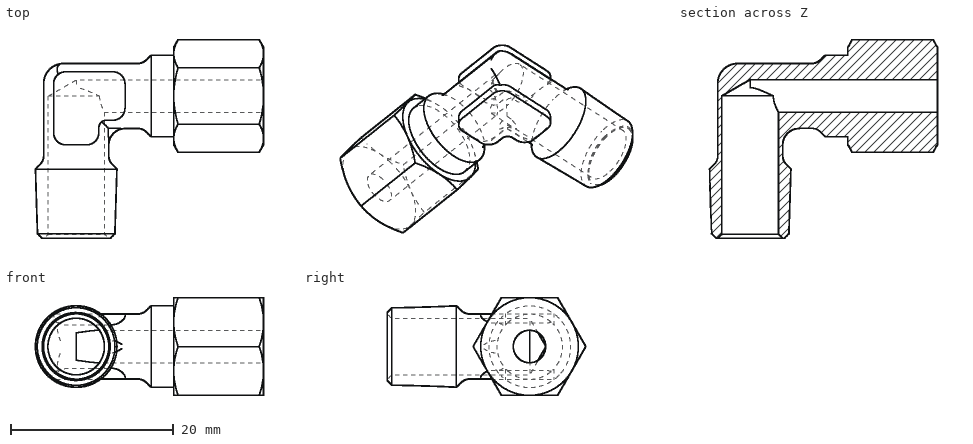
import cadquery as cq
import math

TUBE_RADIUS = 4.0
CORNER_RADIUS = 2.5

COLLAR_RADIUS = 5.02
FLARE_RADIUS = 1.5
FLARE_ANGLE = math.radians(45)

X_FLARE_START = 7.58
NUT_START = 11.98
NUT_END = 23.05
NUT_ACROSS_FLATS = 12.0
NUT_CHAMFER_ANGLE = math.radians(30)

Y_FLARE_START = 7.35
MALE_END = 17.5
MALE_TAPER = 1 / 32
MALE_CHAMFER = 0.6

MALE_BORE_RADIUS = 3.48
MALE_MOUTH_RADIUS = 4.0
DRILL_TIP_HALF_ANGLE = math.radians(60)
NUT_BORE_RADIUS = 2.0

PAD_X_ARM_HALF_WIDTH = 2.97
PAD_Y_ARM_HALF_WIDTH = 2.78
PAD_REACH = 6.0
PAD_CORNER_RADIUS = 1.5
PAD_INNER_RADIUS = 0.95

WEB_RADIUS = 2.0
WEB_NOSE_RADIUS = 0.75


def flared_profile(start):
    """Half profile of a tube that flares into a collar; returns it and the axial end of the flare."""
    arc_run = FLARE_RADIUS * math.sin(FLARE_ANGLE)
    arc_rise = FLARE_RADIUS * (1 - math.cos(FLARE_ANGLE))
    half_angle = FLARE_ANGLE / 2
    arc_middle = (
        start + FLARE_RADIUS * math.sin(half_angle),
        TUBE_RADIUS + FLARE_RADIUS * (1 - math.cos(half_angle)),
    )
    arc_end = (start + arc_run, TUBE_RADIUS + arc_rise)
    flare_end = arc_end[0] + (COLLAR_RADIUS - arc_end[1]) / math.tan(FLARE_ANGLE)
    profile = (
        cq.Workplane("XY")
        .lineTo(0, TUBE_RADIUS)
        .lineTo(start, TUBE_RADIUS)
        .threePointArc(arc_middle, arc_end)
        .lineTo(flare_end, COLLAR_RADIUS)
    )
    return profile, flare_end


def spin(profile):
    """Close a half profile and turn it about the X axis."""
    return profile.close().revolve(360, (0, 0, 0), (1, 0, 0))


def point_along_minus_y(solid):
    """Swing a solid built along +X so that it points along -Y."""
    return solid.rotate((0, 0, 0), (0, 0, 1), -90)


def x_leg():
    profile, _ = flared_profile(X_FLARE_START)
    return spin(profile.lineTo(NUT_START, COLLAR_RADIUS).lineTo(NUT_START, 0))


def nut():
    flat_radius = NUT_ACROSS_FLATS / 2
    corner_radius = flat_radius / math.cos(math.radians(30))
    chamfer_length = (corner_radius - flat_radius) * math.tan(NUT_CHAMFER_ANGLE)
    length = NUT_END - NUT_START
    hexagon = cq.Workplane("YZ", origin=(NUT_START, 0, 0)).polygon(6, 2 * corner_radius).extrude(length)
    envelope = spin(
        cq.Workplane("XY")
        .moveTo(NUT_START, 0)
        .lineTo(NUT_START, flat_radius)
        .lineTo(NUT_START + chamfer_length, corner_radius)
        .lineTo(NUT_END - chamfer_length, corner_radius)
        .lineTo(NUT_END, flat_radius)
        .lineTo(NUT_END, 0)
    )
    return hexagon.intersect(envelope)


def y_leg():
    profile, flare_end = flared_profile(Y_FLARE_START)
    chamfer_start = MALE_END - MALE_CHAMFER
    end_radius = COLLAR_RADIUS - MALE_TAPER * (chamfer_start - flare_end)
    return point_along_minus_y(spin(
        profile
        .lineTo(chamfer_start, end_radius)
        .lineTo(MALE_END, end_radius - MALE_CHAMFER)
        .lineTo(MALE_END, 0)
    ))


def outer_corner():
    """Closed corner of the elbow: a domed stub of the Y tube trimmed by the X tube."""
    stub = cq.Workplane("XZ").circle(TUBE_RADIUS).extrude(-TUBE_RADIUS)
    domed_stub = stub.faces(">Y").edges().fillet(CORNER_RADIUS)
    x_tube = cq.Workplane("YZ").circle(TUBE_RADIUS).extrude(-TUBE_RADIUS)
    quadrant = cq.Workplane("XY").box(
        TUBE_RADIUS, TUBE_RADIUS, 2 * TUBE_RADIUS
    ).translate((-TUBE_RADIUS / 2, TUBE_RADIUS / 2, 0))
    return domed_stub.intersect(x_tube).intersect(quadrant)


def pads():
    """Block through both tubes; only its corners above and below them stay visible as pads."""
    block = (
        cq.Workplane("XY", origin=(0, 0, -TUBE_RADIUS))
        .moveTo(-PAD_Y_ARM_HALF_WIDTH, PAD_X_ARM_HALF_WIDTH)
        .lineTo(PAD_REACH, PAD_X_ARM_HALF_WIDTH)
        .lineTo(PAD_REACH, -PAD_X_ARM_HALF_WIDTH)
        .lineTo(PAD_Y_ARM_HALF_WIDTH, -PAD_X_ARM_HALF_WIDTH)
        .lineTo(PAD_Y_ARM_HALF_WIDTH, -PAD_REACH)
        .lineTo(-PAD_Y_ARM_HALF_WIDTH, -PAD_REACH)
        .close()
        .extrude(2 * TUBE_RADIUS)
    )
    inner_corner = cq.selectors.NearestToPointSelector((PAD_Y_ARM_HALF_WIDTH, -PAD_X_ARM_HALF_WIDTH, 0))
    outer_corners = cq.selectors.StringSyntaxSelector("|Z") - inner_corner
    return block.edges(outer_corners).fillet(PAD_CORNER_RADIUS).edges(inner_corner).fillet(PAD_INNER_RADIUS)


def web():
    center = TUBE_RADIUS + WEB_RADIUS
    nose_start = TUBE_RADIUS - WEB_NOSE_RADIUS
    return (
        cq.Workplane("XZ", origin=(0, -center, 0))
        .moveTo(0, -WEB_NOSE_RADIUS)
        .lineTo(nose_start, -WEB_NOSE_RADIUS)
        .threePointArc((TUBE_RADIUS, 0), (nose_start, WEB_NOSE_RADIUS))
        .lineTo(0, WEB_NOSE_RADIUS)
        .close()
        .revolve(90, (center, 0.28, 0), (center, 0, 0))
    )


def male_bore():
    """Drilled bore whose full diameter reaches the X axis, with the conical tip beyond it."""
    tip_length = MALE_BORE_RADIUS / math.tan(DRILL_TIP_HALF_ANGLE)
    mouth_depth = MALE_MOUTH_RADIUS - MALE_BORE_RADIUS
    return point_along_minus_y(spin(
        cq.Workplane("XY")
        .moveTo(-tip_length, 0)
        .lineTo(0, MALE_BORE_RADIUS)
        .lineTo(MALE_END - mouth_depth, MALE_BORE_RADIUS)
        .lineTo(MALE_END, MALE_MOUTH_RADIUS)
        .lineTo(MALE_END, 0)
    ))


def nut_bore():
    return cq.Workplane("YZ").circle(NUT_BORE_RADIUS).extrude(NUT_END)


body = pads().union(x_leg()).union(y_leg()).union(outer_corner()).union(web()).union(nut())
result = body.cut(male_bore()).cut(nut_bore())